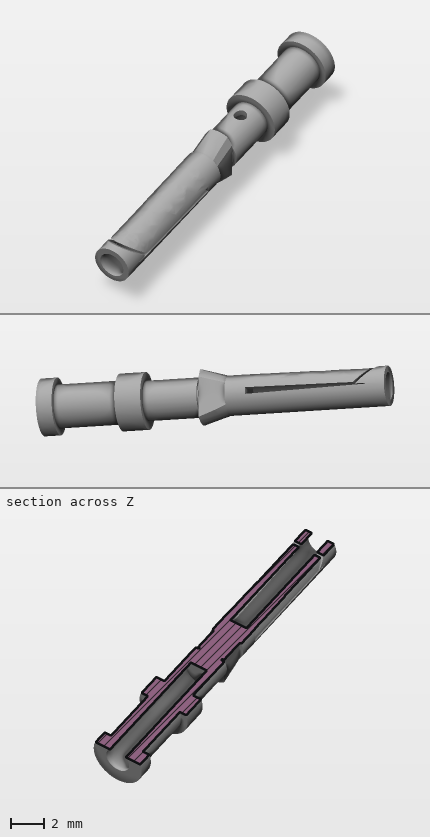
import cadquery as cq

LENGTH = 21.68
REAR_RIM_START = 20.68
COLLAR_END = 16.75
COLLAR_START = 15.13
NECK_END = 11.75
BARB_REAR = 11.69
BARB_FRONT = 10.0
SLOT_END = 8.72

COLLAR_RADIUS = 1.75
BARREL_RADIUS = 2.67 / 2
BODY_RADIUS = 2.45 / 2
NECK_RADIUS = 1.05
BARB_RADIUS = 1.71
BORE_RADIUS = 1.67 / 2

BARB_HALF_WIDTH = 0.95
BEVEL_INNER_X = 0.63
BEVEL_LOW_Z = 1.08
BEVEL_HIGH_Z = 1.58
BEVEL_DROP = 0.48

WIRE_BORE_END = 13.0
INSPECTION_Y = 14.0
INSPECTION_DIAMETER = 0.82

TONGUE_DROP = 0.098
TONGUE_LOWER_Z = 0.17
TONGUE_CORNER_Y = 1.95
TONGUE_TIP_Y = 0.87
GAP_FLOOR_REAR_Z = -0.24
GAP_FLOOR_FRONT_Z = -0.075
SLIT_TOP_Z = -0.02
SLIT_FRONT_Y = 1.17
GAP_CORNER_Y = 1.82
GAP_TOP_Y = 0.5

CUT_WIDTH = 4 * COLLAR_RADIUS


def disk(y, radius):
    """Circle around the part axis on a workplane facing -Y."""
    return cq.Workplane("XZ", origin=(0, y, 0)).circle(radius)


def cylinder(start, end, radius):
    return disk(start, radius).extrude(start - end)


def side_profile(points):
    """Prism across the full width from (y, z) points."""
    return cq.Workplane("YZ").polyline(points).close().extrude(CUT_WIDTH / 2, both=True)


def bevel_section(y, drop):
    """Triangle outside the sloping bevel line, at station y."""
    run = BARB_HALF_WIDTH - BEVEL_INNER_X
    rise = BEVEL_HIGH_Z - BEVEL_LOW_Z
    inner = (BARB_HALF_WIDTH - 2 * run, BEVEL_LOW_Z + 2 * rise - drop)
    outer = (BARB_HALF_WIDTH + run, BEVEL_LOW_Z - rise - drop)
    corner = (outer[0], inner[1])
    points = [cq.Vector(x, y, z) for x, z in (inner, outer, corner)]
    return cq.Wire.makePolygon(points, close=True)


def make_barb():
    barb_length = BARB_REAR - BARB_FRONT
    cone = cq.Workplane(
        cq.Solid.makeCone(
            BODY_RADIUS, BARB_RADIUS, barb_length, cq.Vector(0, BARB_FRONT, 0), cq.Vector(0, 1, 0)
        )
    )
    flats = cq.Workplane("XY").box(2 * BARB_HALF_WIDTH, 2 * LENGTH, CUT_WIDTH)
    sections = [bevel_section(BARB_FRONT, BEVEL_DROP), bevel_section(BARB_REAR, 0)]
    bevel = cq.Workplane(cq.Solid.makeLoft(sections, True))
    return cone.intersect(flats).cut(bevel).cut(bevel.mirror("YZ"))


def make_socket():
    """Front tube, with the region above the gap floor removed for the tongue."""
    tube = cylinder(0, BARB_FRONT, BODY_RADIUS).cut(cylinder(0, SLOT_END, BORE_RADIUS))
    diagonal_slope = (BODY_RADIUS - SLIT_TOP_Z) / (GAP_CORNER_Y - GAP_TOP_Y)
    overshoot = 0.22
    top_z = BODY_RADIUS + overshoot * diagonal_slope
    opening = side_profile([
        (SLOT_END, GAP_FLOOR_REAR_Z),
        (SLIT_FRONT_Y, GAP_FLOOR_FRONT_Z),
        (SLIT_FRONT_Y, SLIT_TOP_Z),
        (GAP_CORNER_Y, SLIT_TOP_Z),
        (GAP_TOP_Y - overshoot, top_z),
        (SLOT_END, top_z),
    ])
    return tube.cut(opening)


def make_tongue():
    """Spring tongue whose outer face sinks towards its tip over a straight bore."""
    tip_z = BODY_RADIUS - TONGUE_DROP
    outline = side_profile([
        (SLOT_END, TONGUE_LOWER_Z),
        (TONGUE_CORNER_Y, TONGUE_LOWER_Z - TONGUE_DROP),
        (TONGUE_TIP_Y, tip_z),
        (TONGUE_TIP_Y, COLLAR_RADIUS),
        (SLOT_END, COLLAR_RADIUS),
    ])
    sinking_cylinder = (
        disk(SLOT_END, BODY_RADIUS)
        .workplane(offset=SLOT_END - TONGUE_TIP_Y)
        .center(0, -TONGUE_DROP)
        .circle(BODY_RADIUS)
        .loft(ruled=True)
    )
    return sinking_cylinder.cut(cylinder(0, SLOT_END, BORE_RADIUS)).intersect(outline)


def make_rear():
    """Crimp barrel, collars, body and neck with the wire bore."""
    rear = (
        cylinder(REAR_RIM_START, LENGTH, COLLAR_RADIUS)
        .union(cylinder(COLLAR_END, REAR_RIM_START, BARREL_RADIUS))
        .union(cylinder(COLLAR_START, COLLAR_END, COLLAR_RADIUS))
        .union(cylinder(NECK_END, COLLAR_START, BODY_RADIUS))
        .union(cylinder(BARB_REAR, NECK_END, NECK_RADIUS))
    )
    inspection_hole = (
        cq.Workplane("XY", origin=(0, INSPECTION_Y, 0))
        .circle(INSPECTION_DIAMETER / 2)
        .extrude(COLLAR_RADIUS)
    )
    return rear.cut(cylinder(WIRE_BORE_END, LENGTH, BORE_RADIUS)).cut(inspection_hole)


result = make_rear().union(make_barb()).union(make_socket()).union(make_tongue())